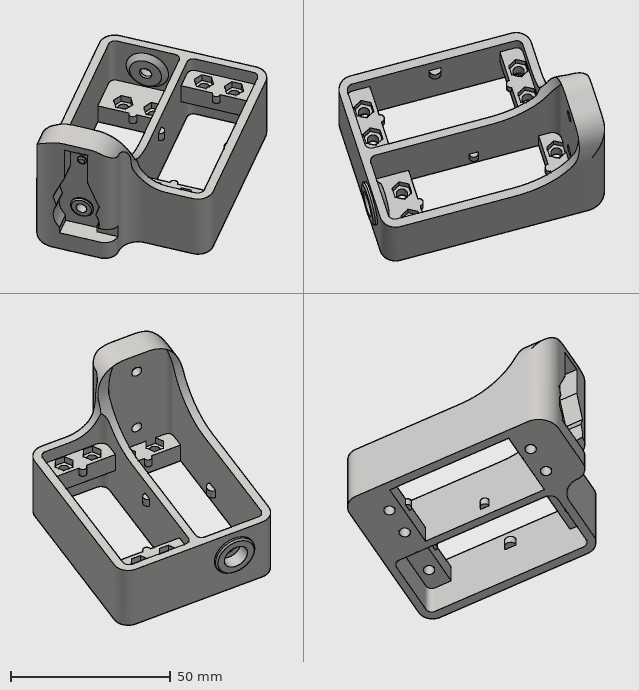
import cadquery as cq
import math

WIDTH = 55.0
BODY_BACK_Y = 73.7
RIM_Z = 24.0
TOP_Z = 46.0
LEG_WIDTH = WIDTH / 2
SHOULDER_Y = 10.95
LEG_LEFT_RADIUS = 7.2
LEG_RIGHT_RADIUS = 4.5
NECK_RADIUS = SHOULDER_Y - LEG_RIGHT_RADIUS
CORNER_RADIUS = 5.0

TOP_ARC_RADIUS = (TOP_Z - RIM_Z) / 2
HUMP_RIGHT_X = 30.0
FRONT_WALL = 9.0
SADDLE_RADIUS = TOP_Z - RIM_Z

SIDE_WALL = 2.9
BACK_WALL = 2.6
POCKET_WIDTH = 23.25
POCKET_BACK_Y = BODY_BACK_Y - BACK_WALL
POCKET_RADIUS = 2.1
JUNCTION_RADIUS = 3.0
LEFT_POCKET_X = SIDE_WALL
RIGHT_POCKET_X = WIDTH - SIDE_WALL - POCKET_WIDTH
RIGHT_POCKET_FRONT_Y = 13.7

SHELF_THICKNESS = 7.0
SHELF_GAP = 42.5
LEFT_SHELF_TOP = 7.0
RIGHT_SHELF_TOP = 19.0
LEFT_GAP_CENTER_Y = 36.9
RIGHT_GAP_CENTER_Y = 41.9
SCREW_SPACING_X = 10.0
SCREW_SPACING_Y = 50.55
SCREW_DIAMETER = 3.5
NUT_FLATS = 5.5
NUT_DEPTH = 2.5
LOCATOR_HEIGHT = 3.0
SHELF_LOCATOR_DIAMETER = 2.55
OUTER_LOCATOR_DIAMETER = 4.0
MIDDLE_LOCATOR_DIAMETER = 3.0

AXIS_X = 15.0
AXIS_Z = 14.5
HORN_DEPTH = 6.0
HORN_ROUND_RADIUS = 7.6
HORN_NECK_HALF = 5.5
HORN_FLOOR_Z = 6.9
HORN_WAIST_Z = 18.4
HORN_WIDE_Z = 22.05
HORN_TAPER_Z = 31.3
HORN_TOP_Z = 43.35
HORN_TIP_HALF = 3.8
HORN_BOSS_DIAMETER = 7.5
HORN_BOSS_HEIGHT = 0.75
HORN_BOSS_CHAMFER = 0.45
UPPER_HOLE_Z = 38.85
PIN_Z = 34.9
PIN_DIAMETER = 3.0

OPENING_DEPTH = 4.1
OPENING_BACK_Z = 11.4
OPENING_FRONT_Z = 12.75

BOSS_DIAMETER = 14.0
BOSS_OUTER_HEIGHT = 1.3
BOSS_CHAMFER = 0.6
BOSS_INNER_HEIGHT = 1.7
BOSS_INNER_TAPER = 45.0
BOSS_HOLE_DIAMETER = 4.0
BORE_DIAMETER = 8.2
BORE_DEPTH = 4.65


def box(x0, x1, y0, y1, z0, z1):
    return cq.Workplane("XY").box(x1 - x0, y1 - y0, z1 - z0, centered=False).translate((x0, y0, z0))


def cylinder_y(diameter, x, z, y0, y1):
    return cq.Workplane("XZ", origin=(x, y0, z)).circle(diameter / 2).extrude(y0 - y1)


def cylinder_z(diameter, x, y, z0, z1):
    return cq.Workplane("XY", origin=(x, y, z0)).circle(diameter / 2).extrude(z1 - z0)


def plan_body():
    """Floor plan with all outer corners rounded, at full height."""
    plan = (
        cq.Workplane("XY")
        .moveTo(LEG_LEFT_RADIUS, 0)
        .lineTo(LEG_WIDTH - LEG_RIGHT_RADIUS, 0)
        .radiusArc((LEG_WIDTH, LEG_RIGHT_RADIUS), -LEG_RIGHT_RADIUS)
        .radiusArc((LEG_WIDTH + NECK_RADIUS, SHOULDER_Y), NECK_RADIUS)
        .lineTo(WIDTH - CORNER_RADIUS, SHOULDER_Y)
        .radiusArc((WIDTH, SHOULDER_Y + CORNER_RADIUS), -CORNER_RADIUS)
        .lineTo(WIDTH, BODY_BACK_Y - CORNER_RADIUS)
        .radiusArc((WIDTH - CORNER_RADIUS, BODY_BACK_Y), -CORNER_RADIUS)
        .lineTo(CORNER_RADIUS, BODY_BACK_Y)
        .radiusArc((0, BODY_BACK_Y - CORNER_RADIUS), -CORNER_RADIUS)
        .lineTo(0, LEG_LEFT_RADIUS)
        .radiusArc((LEG_LEFT_RADIUS, 0), -LEG_LEFT_RADIUS)
        .close()
    )
    return plan.extrude(TOP_Z)


def front_outline():
    """Front silhouette: a round-topped hump sweeping down to the rim on the right."""
    arc_mid_z = RIM_Z + TOP_ARC_RADIUS
    outline = (
        cq.Workplane("XZ")
        .lineTo(WIDTH, 0)
        .lineTo(WIDTH, RIM_Z)
        .lineTo(HUMP_RIGHT_X + TOP_ARC_RADIUS, RIM_Z)
        .radiusArc((HUMP_RIGHT_X, arc_mid_z), TOP_ARC_RADIUS)
        .radiusArc((HUMP_RIGHT_X - TOP_ARC_RADIUS, TOP_Z), -TOP_ARC_RADIUS)
        .lineTo(TOP_ARC_RADIUS, TOP_Z)
        .radiusArc((0, arc_mid_z), -TOP_ARC_RADIUS)
        .close()
    )
    return outline.extrude(-BODY_BACK_Y)


def side_outline():
    """Side silhouette: the tall front wall falls to the rim through one concave arc."""
    outline = (
        cq.Workplane("YZ")
        .lineTo(BODY_BACK_Y, 0)
        .lineTo(BODY_BACK_Y, RIM_Z)
        .lineTo(FRONT_WALL + SADDLE_RADIUS, RIM_Z)
        .radiusArc((FRONT_WALL, TOP_Z), SADDLE_RADIUS)
        .lineTo(0, TOP_Z)
        .close()
    )
    return outline.extrude(WIDTH)


def pocket_space(x, front_y, z0, z1):
    """Inside of one pocket; its front corner at the middle wall has the larger radius."""
    outer_side, middle_side = ("<X", ">X") if x == LEFT_POCKET_X else (">X", "<X")
    space = box(x, x + POCKET_WIDTH, front_y, POCKET_BACK_Y, z0, z1)
    space = space.edges("|Z").edges(">Y").fillet(POCKET_RADIUS)
    space = space.edges("|Z").edges("<Y").edges(outer_side).fillet(POCKET_RADIUS)
    return space.edges("|Z").edges("<Y").edges(middle_side).fillet(JUNCTION_RADIUS)


def shelves(x, front_y, gap_center_y, top_z, screws_x):
    """Front and back shelves of one pocket, with screw holes, nut traps and locating studs."""
    center_x = x + POCKET_WIDTH / 2
    gap_ends = [gap_center_y - SHELF_GAP / 2, gap_center_y + SHELF_GAP / 2]
    bottom_z = top_z - SHELF_THICKNESS
    pair = pocket_space(x, front_y, bottom_z, top_z)
    pair = pair.cut(box(x, x + POCKET_WIDTH, *gap_ends, bottom_z, top_z))
    for end_y in gap_ends:
        stud = cylinder_z(SHELF_LOCATOR_DIAMETER, center_x, end_y, top_z - LOCATOR_HEIGHT, top_z)
        pair = pair.union(stud)
    screws = cq.Workplane("XY", origin=(screws_x, gap_center_y, top_z)).rarray(
        SCREW_SPACING_X, SCREW_SPACING_Y, 2, 2
    )
    nut_corners = NUT_FLATS / math.cos(math.pi / 6)
    pair = pair.cut(screws.circle(SCREW_DIAMETER / 2).extrude(-SHELF_THICKNESS))
    return pair.cut(screws.polygon(6, nut_corners).extrude(-NUT_DEPTH))


def wall_locators(x, gap_center_y, top_z, left_diameter, right_diameter):
    """Studs centred on the faces of the two side walls of one pocket, so half of each stands out."""
    bottom_z = top_z - LOCATOR_HEIGHT
    left = cylinder_z(left_diameter, x, gap_center_y, bottom_z, top_z)
    right = cylinder_z(right_diameter, x + POCKET_WIDTH, gap_center_y, bottom_z, top_z)
    return left.union(right)


def horn_recess():
    """Blind recess in the front wall shaped like a servo horn, open to the ledge below."""
    waist_half = math.sqrt(HORN_ROUND_RADIUS**2 - (HORN_WAIST_Z - AXIS_Z) ** 2)
    neck_z = AXIS_Z - math.sqrt(HORN_ROUND_RADIUS**2 - HORN_NECK_HALF**2)
    outline = (
        cq.Workplane("XZ", origin=(AXIS_X, 0, 0))
        .moveTo(-HORN_NECK_HALF, HORN_FLOOR_Z)
        .lineTo(HORN_NECK_HALF, HORN_FLOOR_Z)
        .lineTo(HORN_NECK_HALF, neck_z)
        .threePointArc((HORN_ROUND_RADIUS, AXIS_Z), (waist_half, HORN_WAIST_Z))
        .lineTo(HORN_ROUND_RADIUS, HORN_WIDE_Z)
        .lineTo(HORN_TIP_HALF, HORN_TAPER_Z)
        .lineTo(HORN_TIP_HALF, HORN_TOP_Z)
        .lineTo(-HORN_TIP_HALF, HORN_TOP_Z)
        .lineTo(-HORN_TIP_HALF, HORN_TAPER_Z)
        .lineTo(-HORN_ROUND_RADIUS, HORN_WIDE_Z)
        .lineTo(-waist_half, HORN_WAIST_Z)
        .threePointArc((-HORN_ROUND_RADIUS, AXIS_Z), (-HORN_NECK_HALF, neck_z))
        .close()
    )
    return outline.extrude(-HORN_DEPTH)


def side_opening():
    """Opening with a sloped ceiling from the horn recess out through the right flank."""
    outline = (
        cq.Workplane("YZ", origin=(AXIS_X, 0, 0))
        .moveTo(0, HORN_FLOOR_Z)
        .lineTo(OPENING_DEPTH, HORN_FLOOR_Z)
        .lineTo(OPENING_DEPTH, OPENING_BACK_Z)
        .lineTo(0, OPENING_FRONT_Z)
        .close()
    )
    return outline.extrude(LEG_WIDTH - AXIS_X)


def recess_stud(diameter, z):
    """Short chamfered stud standing on the back of the horn recess."""
    stud = cylinder_y(diameter, AXIS_X, z, HORN_DEPTH - HORN_BOSS_HEIGHT, HORN_DEPTH)
    return stud.faces("<Y").chamfer(HORN_BOSS_CHAMFER)


def pivot_boss():
    """Boss on both sides of the back wall: chamfered disc outside, cone inside."""
    disc = cylinder_y(BOSS_DIAMETER, AXIS_X, AXIS_Z, POCKET_BACK_Y, BODY_BACK_Y + BOSS_OUTER_HEIGHT)
    disc = disc.faces(">Y").chamfer(BOSS_CHAMFER)
    cone = (
        cq.Workplane("XZ", origin=(AXIS_X, POCKET_BACK_Y, AXIS_Z))
        .circle(BOSS_DIAMETER / 2)
        .extrude(BOSS_INNER_HEIGHT, taper=BOSS_INNER_TAPER)
    )
    return disc.union(cone)


def axial_holes():
    """Screw holes through the front wall, and the stepped bore through the pivot boss."""
    boss_end_y = BODY_BACK_Y + BOSS_OUTER_HEIGHT
    axis_hole = cylinder_y(SCREW_DIAMETER, AXIS_X, AXIS_Z, 0, FRONT_WALL)
    upper_hole = cylinder_y(SCREW_DIAMETER, AXIS_X, UPPER_HOLE_Z, 0, FRONT_WALL)
    boss_hole = cylinder_y(BOSS_HOLE_DIAMETER, AXIS_X, AXIS_Z, POCKET_BACK_Y - BOSS_INNER_HEIGHT, boss_end_y)
    bore = cylinder_y(BORE_DIAMETER, AXIS_X, AXIS_Z, boss_end_y - BORE_DEPTH, boss_end_y)
    return axis_hole.union(upper_hole).union(boss_hole.union(bore))


body = plan_body().intersect(front_outline()).intersect(side_outline())
body = body.cut(pocket_space(LEFT_POCKET_X, FRONT_WALL, 0, TOP_Z))
body = body.cut(pocket_space(RIGHT_POCKET_X, RIGHT_POCKET_FRONT_Y, 0, TOP_Z))

body = body.union(shelves(LEFT_POCKET_X, FRONT_WALL, LEFT_GAP_CENTER_Y, LEFT_SHELF_TOP, AXIS_X))
body = body.union(
    shelves(RIGHT_POCKET_X, RIGHT_POCKET_FRONT_Y, RIGHT_GAP_CENTER_Y, RIGHT_SHELF_TOP, WIDTH - AXIS_X)
)
body = body.union(
    wall_locators(
        LEFT_POCKET_X, LEFT_GAP_CENTER_Y, LEFT_SHELF_TOP, OUTER_LOCATOR_DIAMETER, MIDDLE_LOCATOR_DIAMETER
    )
)
body = body.union(
    wall_locators(
        RIGHT_POCKET_X, RIGHT_GAP_CENTER_Y, RIGHT_SHELF_TOP, MIDDLE_LOCATOR_DIAMETER, OUTER_LOCATOR_DIAMETER
    )
)

body = body.cut(horn_recess()).cut(side_opening())
body = body.union(recess_stud(HORN_BOSS_DIAMETER, AXIS_Z))
body = body.union(recess_stud(PIN_DIAMETER, PIN_Z))
body = body.union(pivot_boss())
result = body.cut(axial_holes())